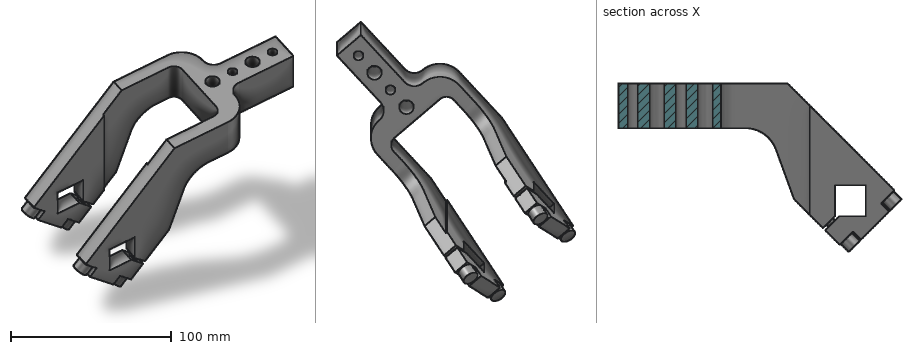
import cadquery as cq
import math

total_length = 175.8
total_width = 68.0
tang_width = 20.0
crossbar_rear = 48.9
crossbar_thickness = 15.0
shoulder_radius = 16.0
tang_fillet = (total_width - tang_width) / 2 - shoulder_radius
inner_radius = 6.2
arm_thickness = 9.0

clamp_thickness = 10.0
clamp_start = 118.9

body_height = 28.0
brow = 105.0
slope_depth = 48.0
heel_distance = 53.6
shin_angle = 20
knee_radius = 20.0

tang_hole_diameters = (6.0, 9.0, 6.0, 9.0)
first_hole = 9.0
hole_pitch = 15.0

window_size = 19.0
window_rear = 134.5
window_top = 63.5
split_width = 2.0
notch_depth = 7.0
notch_width = 11.6
bolt_head_diameter = 10.0
bolt_shank_diameter = 6.0

outer_half = total_width / 2
tang_half = tang_width / 2
inner_half = outer_half - arm_thickness
clamp_inner_half = outer_half - clamp_thickness
clamp_center = outer_half - clamp_thickness / 2
diagonal = math.sqrt(0.5)

slope_length = (total_length - brow) / diagonal + (notch_width - bolt_head_diameter) / 2

split_start = (window_rear - brow + window_top + window_size) * diagonal
split_end = split_start + split_width


def slope_point(distance, depth):
    """(Y, Z) at a distance down the sloping top edge and a depth below it."""
    return (
        -brow - (distance - depth) * diagonal,
        -(distance + depth) * diagonal,
    )


def side_prism(points):
    """Closed YZ outline extruded across the full width of the part."""
    outline = cq.Workplane("YZ").polyline(points).close()
    return outline.extrude(outer_half, both=True)


def slope_block(start, end, top, bottom):
    """Full-width block aligned with the sloping arms."""
    return side_prism([
        slope_point(start, top),
        slope_point(end, top),
        slope_point(end, bottom),
        slope_point(start, bottom),
    ])


def x_slab(x_min, x_max, y_rear):
    """Tall slab between two X positions, from y_rear to the front."""
    slab = cq.Workplane("XY").box(x_max - x_min, total_length - y_rear, total_length, centered=False)
    return slab.translate((x_min, -total_length, -total_length))


def fork_plan():
    """Tang, rounded shoulders and two arms, as a tall prism."""
    tang_length = crossbar_rear + crossbar_thickness
    tang = cq.Workplane("XY").center(0, -tang_length / 2).rect(tang_width, tang_length)
    tang = tang.extrude(-total_length)
    yoke = x_slab(-outer_half, outer_half, crossbar_rear)
    yoke = yoke.edges("|Z and >Y").fillet(shoulder_radius)
    throat = x_slab(-inner_half, inner_half, crossbar_rear + crossbar_thickness)
    throat = throat.edges("|Z and >Y").fillet(inner_radius)
    plan = tang.union(yoke).cut(throat)
    for side in (-1, 1):
        corner_x = side * tang_half
        fillet_x = side * (tang_half + tang_fillet)
        fillet_y = -crossbar_rear + tang_fillet
        corner = (
            cq.Workplane("XY")
            .moveTo(corner_x, fillet_y)
            .radiusArc((fillet_x, -crossbar_rear), -side * tang_fillet)
            .lineTo(corner_x, -crossbar_rear)
            .close()
            .extrude(-total_length)
        )
        plan = plan.union(corner)
        clamp_x = sorted((side * clamp_inner_half, side * outer_half))
        plan = plan.union(x_slab(*clamp_x, clamp_start))
    return plan


def side_profile():
    """Cranked side silhouette with a rounded knee under each arm."""
    heel = slope_point(heel_distance, slope_depth)
    shin_run = (-heel[1] - body_height) * math.tan(math.radians(shin_angle))
    knee = (heel[0] + shin_run, -body_height)
    turn = math.radians(90 - shin_angle)
    tangent = knee_radius * math.tan(turn / 2)
    knee_start = (knee[0] + tangent, knee[1])
    knee_end = (
        knee[0] - tangent * math.cos(turn),
        knee[1] - tangent * math.sin(turn),
    )
    outline = (
        cq.Workplane("YZ")
        .moveTo(0, 0)
        .lineTo(-brow, 0)
        .lineTo(*slope_point(slope_length, 0))
        .lineTo(*slope_point(slope_length, slope_depth))
        .lineTo(*heel)
        .lineTo(*knee_end)
        .radiusArc(knee_start, knee_radius)
        .lineTo(0, -body_height)
        .close()
    )
    return outline.extrude(outer_half, both=True)


def tang_holes():
    holes = cq.Workplane("XY")
    for index, diameter in enumerate(tang_hole_diameters):
        y = -first_hole - index * hole_pitch
        holes = holes.union(cq.Workplane("XY").center(0, y).circle(diameter / 2).extrude(-body_height))
    return holes


def axle_window():
    """Square window opened to the lower edge by a narrow split."""
    window = (
        cq.Workplane("YZ")
        .center(-window_rear - window_size / 2, -window_top - window_size / 2)
        .rect(window_size, window_size)
        .extrude(outer_half, both=True)
    )
    window_center_depth = (window_top - window_rear + brow) * diagonal
    split = slope_block(
        split_start, split_end, window_center_depth, slope_depth + split_width
    )
    return window.union(split)


def bolt_cylinder(x, start, depth, diameter, length):
    """Cylinder running down the slope direction."""
    y, z = slope_point(start, depth)
    direction = cq.Vector(0, -1, -1)
    return cq.Workplane(cq.Solid.makeCylinder(diameter / 2, length, cq.Vector(x, y, z), direction))


notch_floor = slope_length - notch_depth
bolt_depths = (notch_width / 2, slope_depth - notch_width / 2)

result = fork_plan().intersect(side_profile())
result = result.cut(tang_holes()).cut(axle_window())

half_notch = notch_width / 2
for depth in bolt_depths:
    result = result.cut(
        slope_block(notch_floor, slope_length, depth - half_notch, depth + half_notch)
    )
    for x in (-clamp_center, clamp_center):
        result = result.union(bolt_cylinder(x, notch_floor, depth, bolt_head_diameter, notch_depth))

for x in (-clamp_center, clamp_center):
    result = result.union(bolt_cylinder(x, split_start, bolt_depths[1], bolt_shank_diameter, split_width))